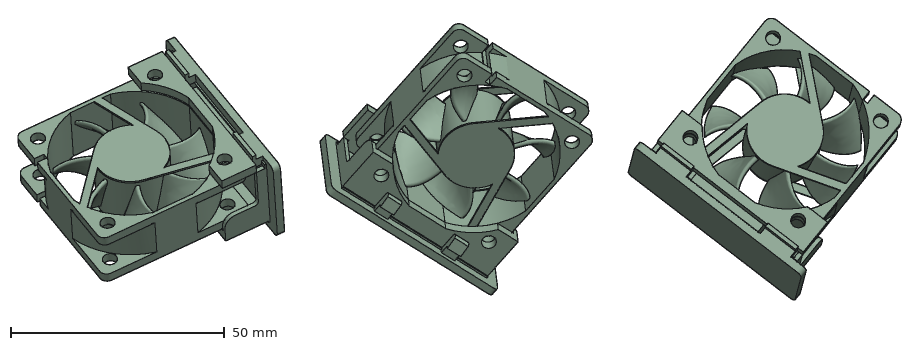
import cadquery as cq
import math

TILT_ANGLE = 5.0
ASSEMBLY_OFFSET = (-0.2, 0, 0.75)

DEPTH = 46.0
OPEN_END_Y = -DEPTH / 2
PLATE_BACK_Y = DEPTH / 2

FAN_SIZE = 40.0
FAN_THICK = 15.05
FAN_TOP = FAN_THICK / 2
FAN_BACK_Y = OPEN_END_Y + FAN_SIZE
FAN_AXIS_Y = OPEN_END_Y + FAN_SIZE / 2
FAN_CORNER_R = 2.0
FLANGE_THICK = 2.5
DUCT_R = 19.7
DUCT_FLAT_WIDTH = 37.85
DUCT_WALL = 1.05
BARREL_R = DUCT_R + DUCT_WALL
HOLE_SPACING = 32.0
HOLE_D = 3.5

HUB_R = 9.0
STRUT_WIDTH = 2.0
STRUT_THICK = 0.5
STRUT_COUNT = 3
STRUT_ANGLE = 18.4

SLOT_WIDTH = 1.4
SLOT_DEPTH = 2.55
SLOT_X = -10.25

BLADE_COUNT = 7
BLADE_ANGLE = 82.5
BLADE_THICK = 1.25
BLADE_TIP_R = 18.65
BLADE_TOP = 5.6
BLADE_BOTTOM = -5.1
BLADE_TIP_SWEEP = 14.0
BLADE_ROOT_WRAP = 16.0
BLADE_TIP_WRAP = 29.0
BLADE_TIP_DROP = 1.55
BLADE_LEADING_BULGE = 7.0
BLADE_TRAILING_BULGE = 10.0
BLADE_SECTIONS = 4

PLATE_WIDTH = 49.5
PLATE_HEIGHT = 23.85
PLATE_THICK = 2.0
PLATE_CORNER_R = 1.5
PLATE_FRONT_Y = PLATE_BACK_Y - PLATE_THICK
PLATE_TOP = 10.55

SHELL_WIDTH = 43.15
SIDE_WALL = 1.1
SHELL_FRONT_Y = 8.95
SHELL_STEP_Y = 18.25
SHELL_BOTTOM = -10.25
TOP_PLATE_THICK = 2.55
TOP_PLATE_BOTTOM = PLATE_TOP - TOP_PLATE_THICK
PANEL_THICK = 0.45
PANEL_BOTTOM = -10.65
LUG_TOP = 9.2
LUG_WIDTH = 1.55

WINDOW_SILL = -3.0
WINDOW_INNER_R = 1.0
WINDOW_OUTER_R = 3.0

STOP_WIDTH = 19.95
STOP_BOTTOM = -2.1

TAB_WIDTH = 9.0
TAB_X = 15.5
TAB_TOP = 11.95
TAB_LIP_DEPTH = 1.0
SNAP_WIDTH = 4.0
SNAP_X = 9.95
SNAP_NECK_DROP = 1.6
SNAP_HOOK_DROP = 2.5
SNAP_NOSE_DROP = 1.85
SNAP_NOSE_BULGE = 0.3
SNAP_HOOK_Y = 18.85
SNAP_NOSE_Y = 15.6


def block(x_min, x_max, y_min, y_max, z_min, z_max):
    """Box given by its limits along each axis."""
    size = (x_max - x_min, y_max - y_min, z_max - z_min)
    return cq.Workplane("XY").box(*size, centered=False).translate((x_min, y_min, z_min))


def cylinder(radius, z_min, z_max):
    """Cylinder on the fan axis."""
    return cq.Workplane("XY", origin=(0, FAN_AXIS_Y, z_min)).circle(radius).extrude(z_max - z_min)


def fan_box(width, z_min, z_max):
    """Square block centred on the fan axis."""
    half = width / 2
    return block(-half, half, FAN_AXIS_Y - half, FAN_AXIS_Y + half, z_min, z_max)


def duct(z_min, z_max):
    """Air passage: a round hole with its four sides flattened."""
    return cylinder(DUCT_R, z_min, z_max).intersect(fan_box(DUCT_FLAT_WIDTH, z_min, z_max))


def mounting_holes(z_min, z_max):
    return (
        cq.Workplane("XY", origin=(0, FAN_AXIS_Y, z_min))
        .rect(HOLE_SPACING, HOLE_SPACING, forConstruction=True)
        .vertices()
        .circle(HOLE_D / 2)
        .extrude(z_max - z_min)
    )


def strut(index, z_min, z_max):
    """Bar from a motor disc to the duct wall, with one long edge tangent to the disc."""
    bar = block(-BARREL_R, 0, HUB_R - STRUT_WIDTH, HUB_R, z_min, z_max)
    angle = STRUT_ANGLE + index * 360 / STRUT_COUNT
    bar = bar.rotate((0, 0, 0), (0, 0, 1), angle).translate((0, FAN_AXIS_Y, 0))
    envelope = cylinder(DUCT_R + DUCT_WALL / 2, z_min, z_max)
    flat_sides = fan_box(DUCT_FLAT_WIDTH + DUCT_WALL, z_min, z_max)
    return bar.intersect(envelope).intersect(flat_sides)


def spider(z_min, z_max):
    """Motor disc carried by its struts."""
    disc = cylinder(HUB_R, z_min, z_max)
    for index in range(STRUT_COUNT):
        disc = disc.union(strut(index, z_min, z_max))
    return disc


def make_fan_frame():
    square = fan_box(FAN_SIZE, -FAN_TOP, FAN_TOP).edges("|Z").fillet(FAN_CORNER_R)
    waist = fan_box(FAN_SIZE, FLANGE_THICK - FAN_TOP, FAN_TOP - FLANGE_THICK)
    ear_gaps = waist.cut(cylinder(BARREL_R, -FAN_TOP, FAN_TOP))
    frame = square.cut(ear_gaps)
    frame = frame.cut(duct(-FAN_TOP, FAN_TOP)).cut(mounting_holes(-FAN_TOP, FAN_TOP))

    frame = frame.union(spider(FAN_TOP - STRUT_THICK, FAN_TOP))
    frame = frame.union(spider(-FAN_TOP, STRUT_THICK - FAN_TOP))

    half_slot = SLOT_WIDTH / 2
    slot_end_y = OPEN_END_Y + SLOT_DEPTH
    cable_slot = block(SLOT_X - half_slot, SLOT_X + half_slot, OPEN_END_Y, slot_end_y, -FAN_TOP, FAN_TOP)
    return frame.cut(cable_slot)


def blade_section(fraction):
    """Blade cross-section at a fraction of the way from the root to the tip, as a wire."""
    root_r = HUB_R - 2 * BLADE_THICK
    outer_r = BLADE_TIP_R + BLADE_THICK
    radius = root_r + fraction * (outer_r - root_r)
    bow = math.sin(math.pi * fraction)
    leading = BLADE_TIP_SWEEP * fraction - BLADE_LEADING_BULGE * bow
    wrap = BLADE_ROOT_WRAP + (BLADE_TIP_WRAP - BLADE_ROOT_WRAP) * fraction
    wrap += (BLADE_TRAILING_BULGE - BLADE_LEADING_BULGE) * bow
    half_chord = radius * math.tan(math.radians(wrap / 2))

    middle = math.radians(BLADE_ANGLE + leading - wrap / 2)
    outward = cq.Vector(math.cos(middle), math.sin(middle), 0)
    clockwise = cq.Vector(math.sin(middle), -math.cos(middle), 0)
    plane = cq.Plane(origin=outward * radius, xDir=clockwise, normal=outward)

    axis_sense = plane.yDir.z
    top = BLADE_TOP - BLADE_TIP_DROP * fraction
    rise = axis_sense * (top - BLADE_BOTTOM)
    middle_height = axis_sense * (top + BLADE_BOTTOM) / 2
    length = math.hypot(2 * half_chord, rise) + BLADE_THICK
    slope = math.degrees(math.atan2(-rise, 2 * half_chord))
    profile = cq.Workplane(plane).center(0, middle_height).slot2D(length, BLADE_THICK, slope)
    return profile.val()


def make_blade():
    wires = [blade_section(i / (BLADE_SECTIONS - 1)) for i in range(BLADE_SECTIONS)]
    return cq.Workplane(cq.Solid.makeLoft(wires)).translate((0, FAN_AXIS_Y, 0))


def make_rotor():
    hub_top = FAN_TOP - STRUT_THICK
    rotor = cylinder(HUB_R, -hub_top, hub_top)
    blade = make_blade().intersect(cylinder(BLADE_TIP_R, -hub_top, hub_top))
    axis_start = (0, FAN_AXIS_Y, 0)
    axis_end = (0, FAN_AXIS_Y, 1)
    for index in range(BLADE_COUNT):
        rotor = rotor.union(blade.rotate(axis_start, axis_end, index * 360 / BLADE_COUNT))
    return rotor


def face_plate():
    half = PLATE_WIDTH / 2
    plate = block(-half, half, PLATE_FRONT_Y, PLATE_BACK_Y, PLATE_TOP - PLATE_HEIGHT, PLATE_TOP)
    return plate.edges("|Y").fillet(PLATE_CORNER_R)


def side_window():
    """Cutter for the open upper part of both side walls, rounded where it meets the sill."""
    half = SHELL_WIDTH / 2
    bend = math.sqrt(0.5)
    inner_drop = WINDOW_INNER_R * (1 - bend)
    outer_drop = WINDOW_OUTER_R * (1 - bend)
    return (
        cq.Workplane("YZ", origin=(-half, 0, 0))
        .moveTo(SHELL_STEP_Y, TOP_PLATE_BOTTOM)
        .lineTo(SHELL_STEP_Y, WINDOW_SILL + WINDOW_INNER_R)
        .threePointArc(
            (SHELL_STEP_Y - inner_drop, WINDOW_SILL + inner_drop),
            (SHELL_STEP_Y - WINDOW_INNER_R, WINDOW_SILL),
        )
        .lineTo(SHELL_FRONT_Y + WINDOW_OUTER_R, WINDOW_SILL)
        .threePointArc(
            (SHELL_FRONT_Y + outer_drop, WINDOW_SILL - outer_drop),
            (SHELL_FRONT_Y, WINDOW_SILL - WINDOW_OUTER_R),
        )
        .lineTo(SHELL_FRONT_Y, TOP_PLATE_BOTTOM)
        .close()
        .extrude(SHELL_WIDTH)
    )


def shell():
    """Top plate, side walls and floor around the rear of the fan."""
    half = SHELL_WIDTH / 2
    inner = half - SIDE_WALL
    tray = block(-half, half, SHELL_FRONT_Y, PLATE_FRONT_Y, SHELL_BOTTOM, TOP_PLATE_BOTTOM)
    tray = tray.cut(block(-inner, inner, SHELL_FRONT_Y, PLATE_FRONT_Y, -FAN_TOP, TOP_PLATE_BOTTOM))
    tray = tray.cut(side_window())
    top_plate = block(-half, half, SHELL_FRONT_Y, SHELL_STEP_Y, TOP_PLATE_BOTTOM, PLATE_TOP)
    body = tray.union(top_plate).union(rear_panel())
    return body.cut(duct(SHELL_BOTTOM, PLATE_TOP)).cut(mounting_holes(SHELL_BOTTOM, PLATE_TOP))


def rear_panel():
    """Raised face on the face plate that closes the shell, with a lug at each upper corner."""
    half = SHELL_WIDTH / 2
    panel_y = PLATE_FRONT_Y - PANEL_THICK
    panel = block(-half, half, panel_y, PLATE_FRONT_Y, PANEL_BOTTOM, TOP_PLATE_BOTTOM)
    for left in (-half, half - LUG_WIDTH):
        lug = block(left, left + LUG_WIDTH, panel_y, PLATE_FRONT_Y, TOP_PLATE_BOTTOM, LUG_TOP)
        panel = panel.union(lug)
    return panel


def stop_block():
    """Block between the panel and the back of the fan."""
    half = STOP_WIDTH / 2
    return block(-half, half, FAN_BACK_Y, PLATE_FRONT_Y, STOP_BOTTOM, FAN_TOP)


def top_tab(x_centre):
    """Bridge from the top plate to the face plate, with a raised lip on its front edge."""
    left = x_centre - TAB_WIDTH / 2
    right = x_centre + TAB_WIDTH / 2
    bridge = block(left, right, SHELL_STEP_Y, PLATE_FRONT_Y, TOP_PLATE_BOTTOM, PLATE_TOP)
    lip = block(left, right, SHELL_STEP_Y, SHELL_STEP_Y + TAB_LIP_DEPTH, TOP_PLATE_BOTTOM, TAB_TOP)
    return bridge.union(lip)


def bottom_snap(x_centre):
    """Hook under the floor, with its step facing the face plate and a rounded nose."""
    return (
        cq.Workplane("YZ", origin=(x_centre - SNAP_WIDTH / 2, 0, 0))
        .moveTo(PLATE_FRONT_Y, SHELL_BOTTOM)
        .lineTo(PLATE_FRONT_Y, SHELL_BOTTOM - SNAP_NECK_DROP)
        .lineTo(SNAP_HOOK_Y, SHELL_BOTTOM - SNAP_NECK_DROP)
        .lineTo(SNAP_HOOK_Y, SHELL_BOTTOM - SNAP_HOOK_DROP)
        .lineTo(SNAP_NOSE_Y + SNAP_NOSE_BULGE, SHELL_BOTTOM - SNAP_NOSE_DROP)
        .threePointArc(
            (SNAP_NOSE_Y, SHELL_BOTTOM - SNAP_NOSE_DROP / 2),
            (SNAP_NOSE_Y + SNAP_NOSE_BULGE, SHELL_BOTTOM),
        )
        .close()
        .extrude(SNAP_WIDTH)
    )


def make_bracket():
    bracket = face_plate().union(shell()).union(stop_block())
    for side in (-1, 1):
        bracket = bracket.union(top_tab(side * TAB_X)).union(bottom_snap(side * SNAP_X))
    return bracket


def place(body):
    """Tilt a body about Y, right side up, and move it to its place; returns its solid."""
    placed = body.rotate((0, 0, 0), (0, 1, 0), -TILT_ANGLE).translate(ASSEMBLY_OFFSET)
    return placed.solids().val()


fan_frame = place(make_fan_frame())
rotor = place(make_rotor())
bracket = place(make_bracket())

result = cq.Compound.makeCompound([fan_frame, rotor, bracket])